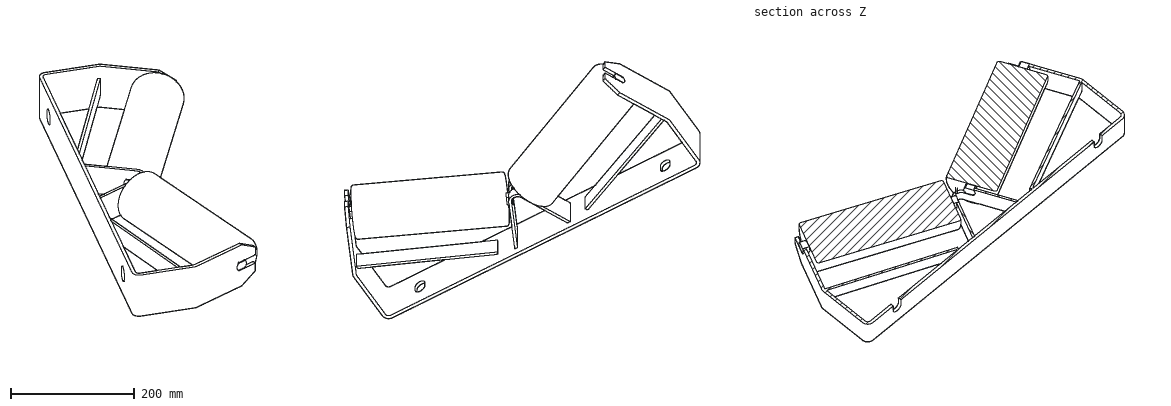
import cadquery as cq
import math


TILT = 25.0
SIN_TILT = math.sin(math.radians(TILT))
COS_TILT = math.cos(math.radians(TILT))
AXIS_DIR = cq.Vector(COS_TILT, -SIN_TILT, 0)
ARM_DIR = cq.Vector(SIN_TILT, COS_TILT, 0)

FRAME_LENGTH = 600.0
STRIP_HEIGHT = 81.0
FRAME_THICKNESS = 6.0
FRAME_BEND_RADIUS = 12.0
ARM_CORNER_Y = 104.5
ARM_LENGTH = 126.0
ARM_TIP_HEIGHT = 47.0
MOUNT_SLOT_X = 232.0
MOUNT_SLOT_WIDTH = 18.0
MOUNT_SLOT_HEIGHT = 27.0

BRACE_THICKNESS = 5.0
BRACE_HEIGHT = 33.5
BRACE_TILT = 24.1
BRACE_START_Y = 102.5
BRACE_LENGTH = 233.5

ROLLER_DIAMETER = 89.0
ROLLER_LENGTH = 250.0
ROLLER_EDGE_RADIUS = 4.0
ARM_GAP = 5.5
BRACKET_GAP = 4.0
AXIS_ALONG_ARM = 97.0
SHAFT_DIAMETER = 20.0
SHAFT_FLATS = 14.0
SHAFT_SLOT_WIDTH = 16.0

BRACKET_THICKNESS = 5.0
BRACKET_HEIGHT = 53.0
BRACKET_BEND_RADIUS = 15.0

ARM_CORNER = cq.Vector(-FRAME_LENGTH / 2, ARM_CORNER_Y, 0)
SHAFT_START = ARM_CORNER + ARM_DIR * AXIS_ALONG_ARM
ROLLER_OFFSET = FRAME_THICKNESS + ARM_GAP
BRACKET_OFFSET = ROLLER_OFFSET + ROLLER_LENGTH + BRACKET_GAP
SHAFT_LENGTH = BRACKET_OFFSET + BRACKET_THICKNESS
SHAFT_PLANE = cq.Plane(origin=SHAFT_START, xDir=ARM_DIR, normal=AXIS_DIR)


def bent_strip(corners, thickness, height, outer_radius):
    """Strip with its width along Z, whose centre line joins the corners, with a round bend at each."""
    path = cq.Wire.makePolygon(corners)
    ends = [path.startPoint(), path.endPoint()]
    bends = [vertex for vertex in path.Vertices() if vertex.Center() not in ends]
    path = path.fillet2D(outer_radius - thickness / 2, bends)
    section = cq.Plane(origin=corners[0], xDir=(0, 0, 1), normal=corners[1] - corners[0])
    return cq.Workplane(section).rect(height, thickness).sweep(cq.Workplane(path))


def mirrored(point):
    return cq.Vector(-point.x, point.y, point.z)


def with_mirror(shape):
    """The shape of the left half together with its mirror image on the right."""
    return shape.add(shape.mirror("YZ")).combine()


def shaft_slot(offset, thickness, length):
    """Cutter for a slot with its round bottom under the shaft, open towards the arm tip."""
    plane = cq.Workplane(SHAFT_PLANE).workplane(offset=offset)
    seat = plane.circle(SHAFT_DIAMETER / 2).extrude(thickness)
    opening = plane.center(length / 2, 0).rect(length, SHAFT_DIAMETER).extrude(thickness)
    sides = plane.rect(2 * length, SHAFT_SLOT_WIDTH).extrude(thickness)
    return seat.union(opening).intersect(sides)


def arm_tip_corners():
    """Cutter for the two sloping corners, which start level with the roller axis."""
    to_tip = ARM_LENGTH - AXIS_ALONG_ARM
    side = STRIP_HEIGHT / 2
    corner = (
        cq.Workplane(SHAFT_PLANE)
        .polyline([(0, side), (to_tip, ARM_TIP_HEIGHT / 2), (to_tip, side)])
        .close()
        .extrude(FRAME_THICKNESS)
    )
    return corner.union(corner.mirror("XY"))


def brace():
    """Flat bar from the middle of the wall down to the base, its lower edge set into the base."""
    wall_middle_x = -(FRAME_LENGTH - FRAME_THICKNESS) / 2
    plane = cq.Workplane("XY", origin=(wall_middle_x, BRACE_START_Y, 0))
    bar = plane.transformed(rotate=(0, 0, -BRACE_TILT))
    return bar.box(BRACE_LENGTH, BRACE_THICKNESS, BRACE_HEIGHT, centered=(False, True, True))


def make_frame():
    half = FRAME_THICKNESS / 2
    base_corner = cq.Vector(-FRAME_LENGTH / 2 + half, half, 0)
    arm_bend = ARM_CORNER + cq.Vector(half, -half * math.tan(math.radians(TILT / 2)), 0)
    arm_tip = ARM_CORNER + ARM_DIR * ARM_LENGTH + AXIS_DIR * half
    left = [arm_tip, arm_bend, base_corner]
    corners = left + [mirrored(p) for p in reversed(left)]
    strip = bent_strip(corners, FRAME_THICKNESS, STRIP_HEIGHT, FRAME_BEND_RADIUS)
    slot_length = ARM_LENGTH - AXIS_ALONG_ARM + FRAME_THICKNESS
    arm_cuts = shaft_slot(0, FRAME_THICKNESS, slot_length).union(arm_tip_corners())
    mount_slots = (
        cq.Workplane("XZ")
        .pushPoints([(-MOUNT_SLOT_X, 0), (MOUNT_SLOT_X, 0)])
        .slot2D(MOUNT_SLOT_HEIGHT, MOUNT_SLOT_WIDTH, 90)
        .extrude(-FRAME_THICKNESS)
    )
    return strip.union(with_mirror(brace())).cut(with_mirror(arm_cuts)).cut(mount_slots)


def make_bracket():
    """Inverted V standing on the base, with a shaft slot in each leg that meets over the crest."""
    leg_point = SHAFT_START + AXIS_DIR * (BRACKET_OFFSET + BRACKET_THICKNESS / 2)
    apex_y = leg_point.y - leg_point.x * COS_TILT / SIN_TILT
    apex = cq.Vector(0, apex_y, 0)
    foot = cq.Vector(-apex_y * SIN_TILT / COS_TILT, 0, 0)
    corners = [foot, apex, mirrored(foot)]
    legs = bent_strip(corners, BRACKET_THICKNESS, BRACKET_HEIGHT, BRACKET_BEND_RADIUS)
    below_base_top = cq.Workplane("XY").box(FRAME_LENGTH, 2 * FRAME_THICKNESS, BRACKET_HEIGHT)
    reach = (apex - leg_point).Length
    slots = with_mirror(shaft_slot(BRACKET_OFFSET, 2 * BRACKET_THICKNESS, reach))
    return legs.cut(below_base_top).cut(slots)


def make_roller():
    """Left roller with its flatted shaft, which ends flush with the arm and the bracket."""
    plane = cq.Workplane(SHAFT_PLANE)
    drum = (
        plane.workplane(offset=ROLLER_OFFSET)
        .circle(ROLLER_DIAMETER / 2)
        .extrude(ROLLER_LENGTH)
        .edges("%CIRCLE")
        .fillet(ROLLER_EDGE_RADIUS)
    )
    flats = plane.rect(SHAFT_DIAMETER, SHAFT_FLATS).extrude(SHAFT_LENGTH)
    shaft = plane.circle(SHAFT_DIAMETER / 2).extrude(SHAFT_LENGTH).intersect(flats)
    return drum.union(shaft)


frame = make_frame()
bracket = make_bracket()
left_roller = make_roller()
rollers = left_roller.add(left_roller.mirror("YZ")).solids()

result = cq.Compound.makeCompound([frame.solids().val(), bracket.solids().val(), *rollers.vals()])